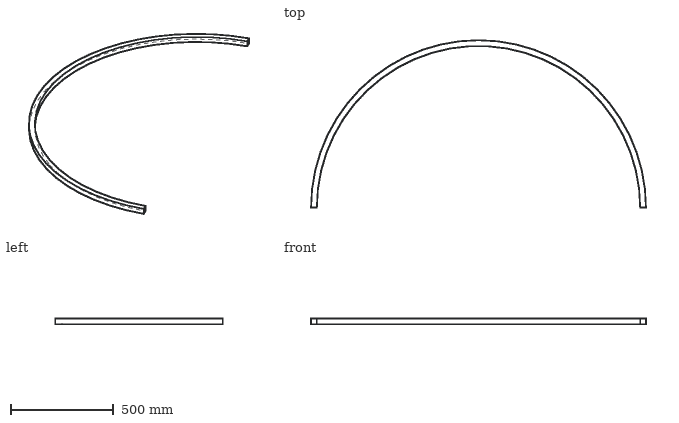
import cadquery as cq

outer_radius = 815.0
section_size = 30.0
inner_radius = outer_radius - section_size

result = (
    cq.Workplane("XY")
    .moveTo(-outer_radius, 0)
    .threePointArc((0, outer_radius), (outer_radius, 0))
    .lineTo(inner_radius, 0)
    .threePointArc((0, inner_radius), (-inner_radius, 0))
    .close()
    .extrude(section_size)
)